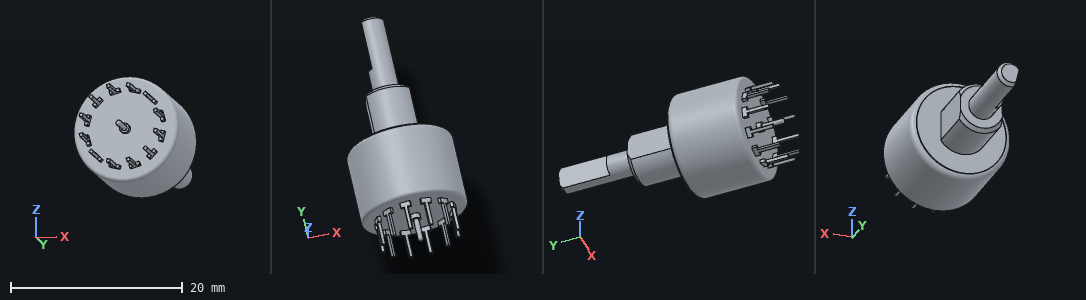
import cadquery as cq


body_diameter = 12.7
body_length = 9.0
body_front_fillet = 0.75
body_rear_fillet = 0.4

raised_face_diameter = body_diameter - 2 * body_front_fillet
raised_face_height = 0.12

bushing_diameter = 6.35
bushing_length = 6.35
bushing_across_flats = 5.2
bushing_chamfer = 0.45

shaft_diameter = 3.175
shaft_length = 9.43
shaft_chamfer = 0.4
flat_length = 6.35
flat_offset = 0.87
flat_angle = 13.0

terminal_count = 12
terminal_circle_radius = 4.62
terminal_length = 3.34
terminal_thickness = 0.4
terminal_pin_width = 0.4
shoulder_width = 1.22
shoulder_length = 0.6

centre_shoulder_diameter = 1.15
centre_pin_diameter = 0.65
centre_pin_tip_fillet = 0.22

body_front = body_length + raised_face_height
bushing_front = body_front + bushing_length
shaft_tip = bushing_front + shaft_length


def cylinder(diameter, y_start, y_end):
    """Solid cylinder on the rotary axis between two Y positions."""
    start_plane = cq.Workplane("XZ", origin=(0, y_start, 0))
    return start_plane.circle(diameter / 2).extrude(y_start - y_end)


def make_body():
    body = cylinder(body_diameter, 0, body_length)
    body = body.faces(">Y").edges().fillet(body_front_fillet)
    body = body.faces("<Y").edges().fillet(body_rear_fillet)
    return body.union(cylinder(raised_face_diameter, body_length, body_front))


def make_bushing():
    bushing = cylinder(bushing_diameter, body_front, bushing_front)
    bushing = bushing.faces(">Y").chamfer(bushing_chamfer)
    between_flats = cq.Workplane("XY").box(
        bushing_across_flats, 2 * bushing_front, bushing_diameter
    )
    return bushing.intersect(between_flats)


def make_shaft():
    shaft = cylinder(shaft_diameter, body_front, shaft_tip)
    shaft = shaft.faces(">Y").chamfer(shaft_chamfer)
    flat_cut = (
        cq.Workplane("XY")
        .box(shaft_diameter, flat_length, 2 * shaft_diameter)
        .translate((-flat_offset - shaft_diameter / 2, shaft_tip - flat_length / 2, 0))
        .rotate((0, 0, 0), (0, 1, 0), -flat_angle)
    )
    return shaft.cut(flat_cut)


def make_terminal(angle):
    """T-shaped flat terminal, its broad faces tangential to the terminal circle."""
    outline = cq.Workplane("XZ").center(0, terminal_circle_radius)
    shoulder = outline.rect(shoulder_width, terminal_thickness).extrude(shoulder_length)
    pin = outline.rect(terminal_pin_width, terminal_thickness).extrude(terminal_length)
    return shoulder.union(pin).rotate((0, 0, 0), (0, 1, 0), angle)


def make_centre_terminal():
    shoulder = cylinder(centre_shoulder_diameter, -shoulder_length, 0)
    pin = cylinder(centre_pin_diameter, -terminal_length, 0)
    pin = pin.faces("<Y").edges().fillet(centre_pin_tip_fillet)
    return shoulder.union(pin)


result = make_body().union(make_bushing()).union(make_shaft()).union(make_centre_terminal())

terminal_pitch = 360.0 / terminal_count
for index in range(terminal_count):
    result = result.union(make_terminal((index + 0.5) * terminal_pitch))